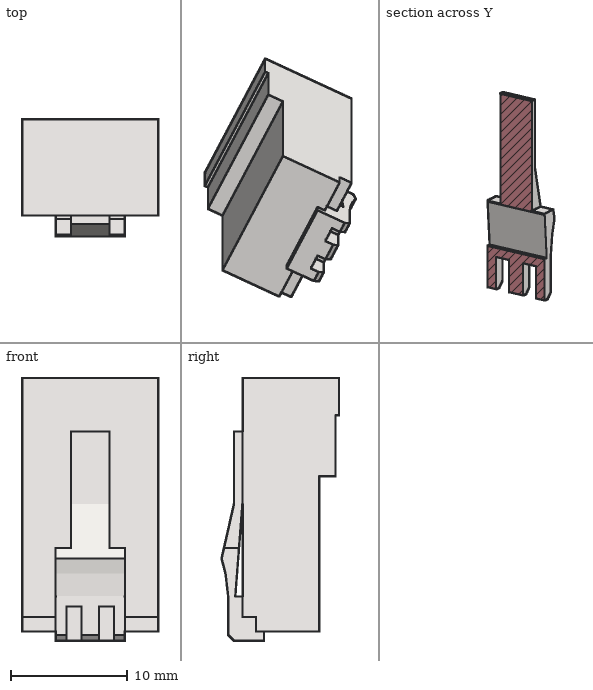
import cadquery as cq

total_height = 22.6

body_width = 11.7
body_depth = 8.3
body_bottom = 0.8
lip_bottom = 19.37
lip_overhang = 0.3
head_bottom = 14.12
head_overhang = 1.7
front_step_depth = 1.15
front_step_top = 2.03

latch_width = 5.97
arm_width = 3.35
arm_top = 18.0
arm_thickness = 0.75
bend_height = 11.75
shoulder_height = 7.95
peak_height = 7.07
peak_reach = 1.8
nose_height = 5.76
nose_reach = 1.47
root_top = 3.82
root_thickness = 1.25
gap_depth = 0.6
foot_back = 1.85
toe_chamfer = 0.5

slot_width = 1.3
slot_spacing = 2.8
slot_top = 2.94


def extrude_profile(points, width):
    """Extrude a (Y, Z) outline symmetrically about X = 0."""
    return cq.Workplane("YZ").polyline(points).close().extrude(width / 2, both=True)


def make_body():
    head_back = body_depth - lip_overhang
    lower_back = body_depth - head_overhang
    return extrude_profile(
        [
            (0, front_step_top),
            (0, total_height),
            (body_depth, total_height),
            (body_depth, lip_bottom),
            (head_back, lip_bottom),
            (head_back, head_bottom),
            (lower_back, head_bottom),
            (lower_back, body_bottom),
            (front_step_depth, body_bottom),
            (front_step_depth, front_step_top),
        ],
        body_width,
    )


def make_latch():
    latch = extrude_profile(
        [
            (0, arm_top),
            (-arm_thickness, arm_top),
            (-arm_thickness, bend_height),
            (-peak_reach, peak_height),
            (-nose_reach, nose_height),
            (-root_thickness, root_top),
            (-root_thickness, toe_chamfer),
            (toe_chamfer - root_thickness, 0),
            (foot_back, 0),
            (foot_back, body_bottom),
            (front_step_depth, body_bottom),
            (front_step_depth, front_step_top),
            (0, front_step_top),
            (0, root_top),
            (-gap_depth, root_top),
            (0, bend_height),
        ],
        latch_width,
    )
    side_width = (latch_width - arm_width) / 2
    side_height = arm_top - shoulder_height
    for side in (-1, 1):
        side_cut = cq.Workplane("XY").box(side_width, peak_reach, side_height).translate(
            (
                side * (arm_width + side_width) / 2,
                -peak_reach / 2,
                shoulder_height + side_height / 2,
            )
        )
        latch = latch.cut(side_cut)
    return latch


def cut_foot_slots(latch):
    """Cut the slots from the front of the latch back to the body's front plane."""
    for side in (-1, 1):
        slot = cq.Workplane("XY").box(slot_width, root_thickness, slot_top).translate(
            (side * slot_spacing / 2, -root_thickness / 2, slot_top / 2)
        )
        latch = latch.cut(slot)
    return latch


result = make_body().union(cut_foot_slots(make_latch()))